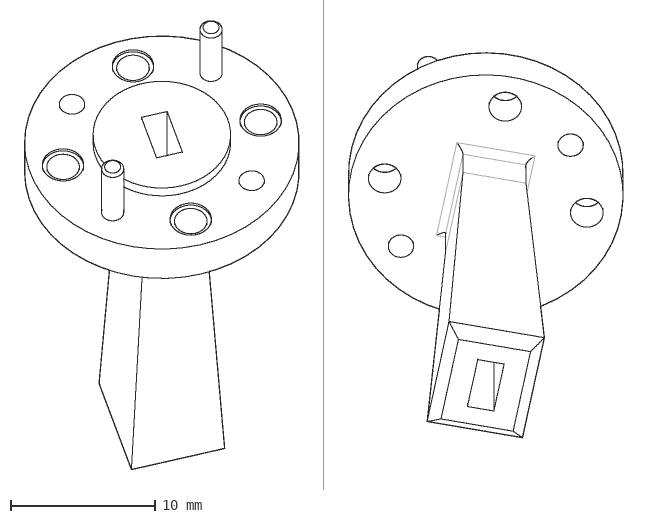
import cadquery as cq

flange_diameter = 19.05
flange_thickness = 3.23
boss_diameter = 9.55
boss_height = 0.85

guide_width = 3.77
guide_depth = 1.85

bolt_circle_radius = 7.15
bolt_hole_diameter = 2.25
counterbore_diameter = 2.87
counterbore_depth = 0.2

dowel_offset = 5.02
pin_diameter = 1.55
pin_height = 5.0
pin_chamfer = 0.2
dowel_hole_diameter = 1.75

overall_height = 35.9
neck_width = 6.4
neck_depth = 4.45
neck_length = 3.2
neck_fillet = 0.55
horn_width = 8.05
horn_depth = 6.75
bevel = 0.83

horn_end_z = pin_height - overall_height
flange_bottom_z = -flange_thickness
neck_end_z = flange_bottom_z - neck_length
bevel_start_z = horn_end_z + bevel


def frustum(start_z, start_size, end_z, end_size):
    """Solid joining two centred rectangles at different heights."""
    return (
        cq.Workplane("XY", origin=(0, 0, start_z))
        .rect(*start_size)
        .workplane(offset=end_z - start_z)
        .rect(*end_size)
        .loft(ruled=True)
    )


def make_flange_and_neck():
    flange = cq.Workplane("XY").circle(flange_diameter / 2).extrude(-flange_thickness)
    neck = (
        cq.Workplane("XY", origin=(0, 0, flange_bottom_z))
        .rect(neck_width, neck_depth)
        .extrude(-neck_length)
    )
    joint = cq.selectors.BoxSelector(
        (-neck_width, -neck_depth, flange_bottom_z - neck_fillet / 2),
        (neck_width, neck_depth, flange_bottom_z + neck_fillet / 2),
    )
    boss = cq.Workplane("XY").circle(boss_diameter / 2).extrude(boss_height)
    return flange.union(neck).edges("%LINE").edges(joint).fillet(neck_fillet).union(boss)


def make_horn():
    neck_size = (neck_width, neck_depth)
    horn_size = (horn_width, horn_depth)
    end_size = (horn_width - 2 * bevel, horn_depth - 2 * bevel)
    body = frustum(neck_end_z, neck_size, bevel_start_z, horn_size)
    return body.union(frustum(bevel_start_z, horn_size, horn_end_z, end_size))


def make_pins():
    return (
        cq.Workplane("XY", origin=(0, 0, flange_bottom_z / 2))
        .pushPoints([(-dowel_offset, dowel_offset), (dowel_offset, -dowel_offset)])
        .circle(pin_diameter / 2)
        .extrude(pin_height - flange_bottom_z / 2)
        .faces(">Z")
        .edges()
        .chamfer(pin_chamfer)
    )


def cut_holes(part):
    top = cq.Workplane("XY")
    guide = (
        cq.Workplane("XY", origin=(0, 0, boss_height))
        .rect(guide_width, guide_depth)
        .extrude(horn_end_z - boss_height)
    )
    bolts = top.polarArray(bolt_circle_radius, 0, 360, 4)
    bolt_holes = bolts.circle(bolt_hole_diameter / 2).extrude(-flange_thickness)
    counterbores = bolts.circle(counterbore_diameter / 2).extrude(-counterbore_depth)
    dowel_holes = (
        top.pushPoints([(dowel_offset, dowel_offset), (-dowel_offset, -dowel_offset)])
        .circle(dowel_hole_diameter / 2)
        .extrude(-flange_thickness)
    )
    return part.cut(guide).cut(bolt_holes).cut(counterbores).cut(dowel_holes)


result = cut_holes(make_flange_and_neck().union(make_horn()).union(make_pins()))